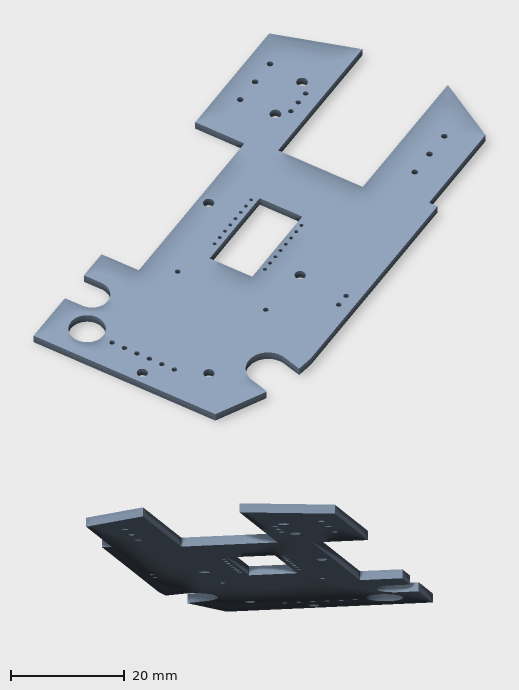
import cadquery as cq
import math

width = 47.0
length = 89.8
thickness = 1.6

left_arm_inner_x = 16.0
left_arm_inner_top_y = 89.5
left_arm_outer_top_y = 84.4
left_arm_bottom_y = 59.2

right_arm_inner_x = 33.3
right_arm_outer_x = 45.3
right_arm_outer_top_y = 82.7
right_shoulder_y = 63.5
arm_gap_bottom_y = 60.8

body_left_x = 10.1
foot_left_x = 2.4
foot_top_y = 23.2
foot_right_x = 39.6
right_taper_y = 20.3
right_taper_end_x = 46.5
right_corner_x = 44.45
right_corner_y = 9.25

left_notch_radius = 3.2
left_notch_x = 6.0
left_notch_y = 13.9

right_notch_radius = 3.95
right_notch_x = 41.85
right_notch_y = 14.3
right_notch_slope = math.radians(15.5)

window_left_x = 19.2
window_right_x = 27.9
window_bottom_y = 32.1
window_top_y = 49.1

chip_pin_diameter = 0.7
pin_diameter = 1.0
arm_pin_diameter = 1.2
mount_diameter = 2.0
arm_mount_diameter = 2.1
large_hole_diameter = 6.6

arm_row_span = 10.15
sensor_row_span = 5.0
chip_row_span = 12.5
foot_row_span = 12.75
edge_pair_span = 2.5

left_arm_row_start = (3.95, 68.0)
right_arm_row_start = (39.2, 68.6)
sensor_row_start = (13.0, 70.1)
chip_left_row_start = (18.1, 35.6)
chip_right_row_start = (28.9, 34.75)
edge_pair_start = (44.45, 34.0)
foot_row_start = (15.1, 5.7)
body_pins = [(16.1, 26.4), (34.1, 26.4)]
arm_mounts = [(11.05, 68.2), (11.05, 77.2)]
mounts = [(12.1, 43.55), (34.9, 36.7), (33.5, 8.0), (23.4, 2.1)]
large_hole = (9.6, 6.3)


def right_notch_point(along, across):
    """Point at distances along the notch axis, toward its mouth, and across it."""
    cosine = math.cos(right_notch_slope)
    sine = math.sin(right_notch_slope)
    return (
        right_notch_x + along * cosine + across * sine,
        right_notch_y - along * sine + across * cosine,
    )


def right_notch_mouth(x, across):
    """Point where a straight notch side reaches the given x."""
    start_x, _ = right_notch_point(0, across)
    return right_notch_point((x - start_x) / math.cos(right_notch_slope), across)


def column(start, span, count):
    """Evenly spaced points going up from the start."""
    return [(start[0], start[1] + span * i / (count - 1)) for i in range(count)]


def row(start, span, count):
    """Evenly spaced points going right from the start."""
    return [(start[0] + span * i / (count - 1), start[1]) for i in range(count)]


def make_plate():
    return (
        cq.Workplane("XY")
        .moveTo(foot_left_x, 0)
        .lineTo(foot_left_x, left_notch_y - left_notch_radius)
        .lineTo(left_notch_x, left_notch_y - left_notch_radius)
        .threePointArc(
            (left_notch_x + left_notch_radius, left_notch_y),
            (left_notch_x, left_notch_y + left_notch_radius),
        )
        .lineTo(foot_left_x, left_notch_y + left_notch_radius)
        .lineTo(foot_left_x, foot_top_y)
        .lineTo(body_left_x, foot_top_y)
        .lineTo(body_left_x, left_arm_bottom_y)
        .lineTo(0, left_arm_bottom_y)
        .lineTo(0, left_arm_outer_top_y)
        .lineTo(left_arm_inner_x, left_arm_inner_top_y)
        .lineTo(left_arm_inner_x, arm_gap_bottom_y)
        .lineTo(right_arm_inner_x, arm_gap_bottom_y)
        .lineTo(right_arm_inner_x, length)
        .lineTo(right_arm_outer_x, right_arm_outer_top_y)
        .lineTo(right_arm_outer_x, right_shoulder_y)
        .lineTo(width, right_shoulder_y)
        .lineTo(width, right_taper_y)
        .lineTo(*right_notch_mouth(right_taper_end_x, right_notch_radius))
        .lineTo(*right_notch_point(0, right_notch_radius))
        .threePointArc(
            right_notch_point(-right_notch_radius, 0),
            right_notch_point(0, -right_notch_radius),
        )
        .lineTo(*right_notch_mouth(right_corner_x, -right_notch_radius))
        .lineTo(right_corner_x, right_corner_y)
        .lineTo(foot_right_x, 0)
        .close()
        .extrude(thickness)
    )


def cut_window(plate):
    window = cq.Workplane("XY").box(
        window_right_x - window_left_x,
        window_top_y - window_bottom_y,
        thickness,
        centered=False,
    )
    return plate.cut(window.translate((window_left_x, window_bottom_y, 0)))


def drill(plate, points, diameter):
    pins = cq.Workplane("XY").pushPoints(points).circle(diameter / 2).extrude(thickness)
    return plate.cut(pins)


arm_pins = column(left_arm_row_start, arm_row_span, 3) + column(right_arm_row_start, arm_row_span, 3)
chip_pins = column(chip_left_row_start, chip_row_span, 8) + column(chip_right_row_start, chip_row_span, 8)
small_pins = (
    column(sensor_row_start, sensor_row_span, 3)
    + column(edge_pair_start, edge_pair_span, 2)
    + row(foot_row_start, foot_row_span, 6)
    + body_pins
)

result = cut_window(make_plate())
result = drill(result, arm_pins, arm_pin_diameter)
result = drill(result, chip_pins, chip_pin_diameter)
result = drill(result, small_pins, pin_diameter)
result = drill(result, arm_mounts, arm_mount_diameter)
result = drill(result, mounts, mount_diameter)
result = drill(result, [large_hole], large_hole_diameter)